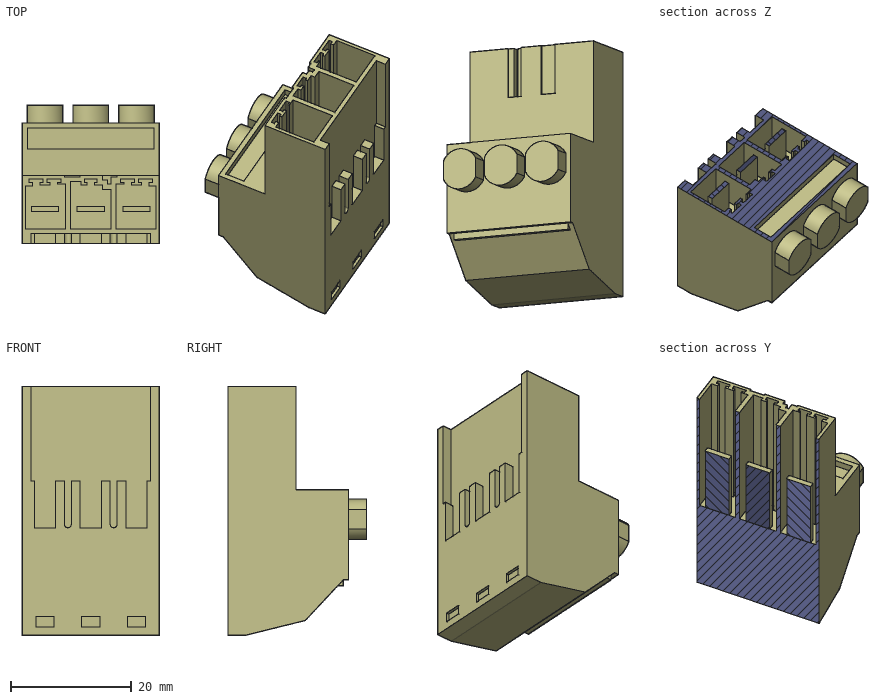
import cadquery as cq


POLE_COUNT = 3
PITCH = 7.63
WIDTH = POLE_COUNT * PITCH
POLE_CENTRES = [(i - (POLE_COUNT - 1) / 2) * PITCH for i in range(POLE_COUNT)]
POLE_BOUNDARIES = [(i - POLE_COUNT / 2) * PITCH for i in range(1, POLE_COUNT)]

HEIGHT = 41.45
DEPTH = 20.1
TOWER_DEPTH = 11.35
SHELF_Z = 24.25
BACK_BOTTOM_Z = 9.25
LEDGE_WIDTH = 0.85
KNEE_Y = 12.9
KNEE_Z = 2.45
FOOT_DEPTH = 3.03

TRAY_WIDTH = 21.15
TRAY_FRONT_Y = 15.8
TRAY_BACK_Y = 19.25
TRAY_DEPTH = 1.2

RIDGE_WIDTH = TRAY_WIDTH
RIDGE_HEIGHT = 1.05

RECESS_WIDTH = 19.98
RECESS_DEPTH = 1.7
RECESS_BOTTOM_Z = 25.7
SLOT_BOTTOM_Z = 17.9
SLOT_WIDTH = 3.55
GROOVE_WIDTH = 1.15

WINDOW_WIDTH = 3.03
WINDOW_HEIGHT = 1.75
WINDOW_BOTTOM_Z = 1.4
WINDOW_DEPTH = 0.5

POCKET_FLOOR_Z = SLOT_BOTTOM_Z
POCKET_FRONT_Y = 2.45
KEY_LIP_Y = 10.2
KEY_BACK_Y = 10.78
KEY_RIB_Y = 9.75

OUTER_WALL_X = 3.25
INNER_WALL_X = 3.4
OUTER_SHOULDER_Y = 9.6
INNER_SHOULDER_Y = 9.9
KEY_MOUTH_WIDTH = 4.23
KEY_CHANNEL_WIDTH = 5.3
RIB_STEM_WIDTH = 0.7
RIB_HEAD_WIDTH = 1.6

MIDDLE_WALL_X = 3.4
MIDDLE_STEP_X = 1.95
MIDDLE_STEP_Y = 9.05
MIDDLE_CORNER_X = 1.65
MIDDLE_CORNER_Y = 10.32
MIDDLE_MOUTH_WIDTH = 1.33
MIDDLE_CHANNEL_WIDTH = 2.15

NOTCH_BOTTOM_Z = 33.15
NOTCH_DEPTH = 0.3
NOTCH_OUTER_X = 4.4
LEFT_NOTCH_INNER_X = 1.8
HOOK_INNER_X = 1.95
HOOK_STEP_X = 2.8
HOOK_OUTER_X = 3.4
HOOK_INNER_DEPTH = 0.75
HOOK_DEPTH = 1.45

BLADE_WIDTH = 4.5
BLADE_THICKNESS = 0.85
BLADE_Y = 5.75
BLADE_LENGTH = 12.45

KNOB_DIAMETER = 6.8
KNOB_FLATS = 5.95
KNOB_LENGTH = 3.0
KNOB_Z = 19.3


def box(x_range, y_range, z_range):
    """Box between the given limits on each axis."""
    sizes = [high - low for low, high in (x_range, y_range, z_range)]
    corner = (x_range[0], y_range[0], z_range[0])
    return cq.Workplane("XY").box(*sizes, centered=False).translate(corner)


def around(centre, size):
    """Limits of a stretch of the given size centred on a position."""
    return (centre - size / 2, centre + size / 2)


def pocket_box(x_range, y_range):
    """Box from the pocket floor to the top of the housing."""
    return box(x_range, y_range, (POCKET_FLOOR_Z, HEIGHT))


def make_blank():
    """Stepped housing body with its sloping underside."""
    profile = [
        (0, 0),
        (FOOT_DEPTH, 0),
        (KNEE_Y, KNEE_Z),
        (DEPTH - LEDGE_WIDTH, BACK_BOTTOM_Z),
        (DEPTH, BACK_BOTTOM_Z),
        (DEPTH, SHELF_Z),
        (TOWER_DEPTH, SHELF_Z),
        (TOWER_DEPTH, HEIGHT),
        (0, HEIGHT),
    ]
    return cq.Workplane("YZ").polyline(profile).close().extrude(WIDTH / 2, both=True)


def make_ridge():
    """Triangular ridge hanging from the upper end of the sloping underside."""
    slope = (BACK_BOTTOM_Z - KNEE_Z) / (DEPTH - LEDGE_WIDTH - KNEE_Y)
    back_y = DEPTH - LEDGE_WIDTH
    bottom_z = BACK_BOTTOM_Z - RIDGE_HEIGHT
    profile = [
        (back_y, BACK_BOTTOM_Z),
        (back_y, bottom_z),
        (back_y - RIDGE_HEIGHT / slope, bottom_z),
    ]
    return cq.Workplane("YZ").polyline(profile).close().extrude(RIDGE_WIDTH / 2, both=True)


def make_tray():
    """Cutter for the label tray in the shelf."""
    return box(around(0, TRAY_WIDTH), (TRAY_FRONT_Y, TRAY_BACK_Y), (SHELF_Z - TRAY_DEPTH, SHELF_Z))


def make_groove(x):
    """Cutter for the narrow groove at a pole boundary, rounded at its lower end."""
    left, right = around(x, GROOVE_WIDTH)
    arc_z = SLOT_BOTTOM_Z + GROOVE_WIDTH / 2
    groove = (
        cq.Workplane("XZ")
        .moveTo(left, RECESS_BOTTOM_Z)
        .lineTo(left, arc_z)
        .threePointArc((x, SLOT_BOTTOM_Z), (right, arc_z))
        .lineTo(right, RECESS_BOTTOM_Z)
        .close()
    )
    return groove.extrude(-RECESS_DEPTH)


def make_front_recess():
    """Cutter for the front recess, the slot below it at each pole and the groove between poles."""
    recess_y = (0, RECESS_DEPTH)
    slot_z = (SLOT_BOTTOM_Z, RECESS_BOTTOM_Z)
    cutter = box(around(0, RECESS_WIDTH), recess_y, (RECESS_BOTTOM_Z, HEIGHT))
    for x in POLE_CENTRES:
        cutter = cutter.union(box(around(x, SLOT_WIDTH), recess_y, slot_z))
    for x in POLE_BOUNDARIES:
        cutter = cutter.union(make_groove(x))
    return cutter


def make_window(x):
    """Cutter for the shallow window low in the front face of one pole."""
    window_z = (WINDOW_BOTTOM_Z, WINDOW_BOTTOM_Z + WINDOW_HEIGHT)
    return box(around(x, WINDOW_WIDTH), (0, WINDOW_DEPTH), window_z)


def make_outer_pocket():
    """Cutter for the first pole's pocket: a key channel at the back, with a T-shaped rib in it."""
    mouth_x = around(0, KEY_MOUTH_WIDTH)
    pocket = pocket_box((-OUTER_WALL_X, INNER_WALL_X), (POCKET_FRONT_Y, OUTER_SHOULDER_Y))
    pocket = pocket.union(pocket_box((mouth_x[0], INNER_WALL_X), (POCKET_FRONT_Y, INNER_SHOULDER_Y)))
    pocket = pocket.union(pocket_box(mouth_x, (POCKET_FRONT_Y, KEY_LIP_Y)))
    pocket = pocket.union(pocket_box(around(0, KEY_CHANNEL_WIDTH), (KEY_LIP_Y, KEY_BACK_Y)))
    pocket = pocket.cut(pocket_box(around(0, RIB_STEM_WIDTH), (KEY_RIB_Y, KEY_BACK_Y)))
    pocket = pocket.cut(pocket_box(around(0, RIB_HEAD_WIDTH), (KEY_RIB_Y, KEY_LIP_Y)))
    return pocket.translate((POLE_CENTRES[0], 0, 0))


def make_middle_pocket():
    """Cutter for the middle pole's pocket: a T-shaped channel, a deep corner and a stepped corner."""
    pocket = pocket_box((-MIDDLE_WALL_X, MIDDLE_WALL_X), (POCKET_FRONT_Y, MIDDLE_STEP_Y))
    pocket = pocket.union(pocket_box((-MIDDLE_WALL_X, MIDDLE_STEP_X), (POCKET_FRONT_Y, KEY_RIB_Y)))
    pocket = pocket.union(pocket_box((-MIDDLE_WALL_X, -MIDDLE_CORNER_X), (POCKET_FRONT_Y, MIDDLE_CORNER_Y)))
    pocket = pocket.union(pocket_box(around(0, MIDDLE_MOUTH_WIDTH), (POCKET_FRONT_Y, KEY_LIP_Y)))
    pocket = pocket.union(pocket_box(around(0, MIDDLE_CHANNEL_WIDTH), (KEY_LIP_Y, KEY_BACK_Y)))
    return pocket


def notch_box(x_range, depth):
    """Box cut into the back face of the tower from the top."""
    return box(x_range, (TOWER_DEPTH - depth, TOWER_DEPTH), (NOTCH_BOTTOM_Z, HEIGHT))


def make_coding_notches():
    """Cutter for the plain notch on the left and the hooked notch on the right."""
    notches = notch_box((-NOTCH_OUTER_X, -LEFT_NOTCH_INNER_X), NOTCH_DEPTH)
    notches = notches.union(notch_box((HOOK_INNER_X, HOOK_OUTER_X), HOOK_INNER_DEPTH))
    notches = notches.union(notch_box((HOOK_STEP_X, HOOK_OUTER_X), HOOK_DEPTH))
    notches = notches.union(notch_box((HOOK_OUTER_X, NOTCH_OUTER_X), NOTCH_DEPTH))
    return notches


def make_housing():
    """Housing with all its recesses and pockets."""
    body = make_blank().union(make_ridge())
    body = body.cut(make_tray())
    body = body.cut(make_front_recess())
    for x in POLE_CENTRES:
        body = body.cut(make_window(x))
    first_pocket = make_outer_pocket()
    body = body.cut(first_pocket)
    body = body.cut(make_middle_pocket())
    body = body.cut(first_pocket.mirror("YZ"))
    return body.cut(make_coding_notches())


def make_blade(x):
    """Flat contact standing on the pocket floor."""
    blade_z = (POCKET_FLOOR_Z, POCKET_FLOOR_Z + BLADE_LENGTH)
    return box(around(x, BLADE_WIDTH), around(BLADE_Y, BLADE_THICKNESS), blade_z)


def make_knob(x):
    """Round knob with two side flats, seated on the back face."""
    knob_y = (DEPTH, DEPTH + KNOB_LENGTH)
    cylinder = cq.Workplane("XZ").circle(KNOB_DIAMETER / 2).extrude(-KNOB_LENGTH)
    cylinder = cylinder.translate((x, DEPTH, KNOB_Z))
    return cylinder.intersect(box(around(x, KNOB_FLATS), knob_y, around(KNOB_Z, KNOB_DIAMETER)))


housing = make_housing()
blades = [make_blade(x) for x in POLE_CENTRES]
knobs = [make_knob(x) for x in POLE_CENTRES]

result = cq.Compound.makeCompound(
    [
        housing.val(),
        *[blade.val() for blade in blades],
        *[knob.val() for knob in knobs],
    ]
)